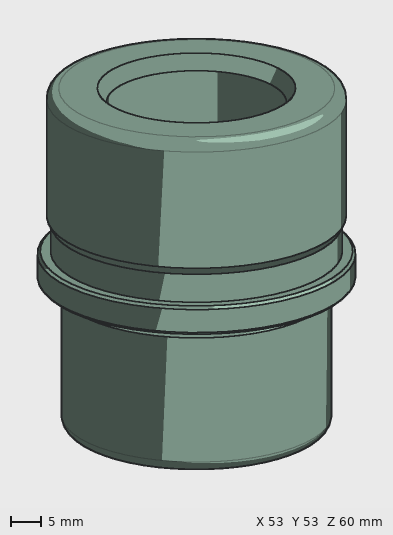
import cadquery as cq
import math

total_height = 60.0
flange_bottom = 26.0
flange_top = 31.0
neck_top = 36.0
neck_chamfer_top = 37.3

flange_diameter = 53.0
flange_radius = flange_diameter / 2
head_radius = 24.95
neck_radius = 24.3
shank_radius = 22.5
bore_radius = 15.0

end_fillet = 2.0
flange_chamfer = 0.5
bore_chamfer_width = 1.5
bore_chamfer_depth = 2.6
relief_arc_radius = 3.0
relief_height = 2.0
relief_depth = relief_arc_radius - math.sqrt(relief_arc_radius**2 - relief_height**2)


def outer_body():
    """Revolve the stepped outer profile: shank, flange, neck and head."""
    profile = (
        cq.Workplane("XZ")
        .lineTo(shank_radius - end_fillet, 0)
        .radiusArc((shank_radius, end_fillet), -end_fillet)
        .lineTo(shank_radius, flange_bottom - relief_height)
        .radiusArc((shank_radius - relief_depth, flange_bottom), relief_arc_radius)
        .lineTo(flange_radius - flange_chamfer, flange_bottom)
        .lineTo(flange_radius, flange_bottom + flange_chamfer)
        .lineTo(flange_radius, flange_top - flange_chamfer)
        .lineTo(flange_radius - flange_chamfer, flange_top)
        .lineTo(neck_radius, flange_top)
        .lineTo(neck_radius, neck_top)
        .lineTo(head_radius, neck_chamfer_top)
        .lineTo(head_radius, total_height - end_fillet)
        .radiusArc((head_radius - end_fillet, total_height), -end_fillet)
        .lineTo(0, total_height)
        .close()
    )
    return profile.revolve(360, (0, 0, 0), (0, 1, 0))


def bore_cutter():
    """Through bore with a lead-in chamfer at the top."""
    profile = (
        cq.Workplane("XZ")
        .lineTo(bore_radius, 0)
        .lineTo(bore_radius, total_height - bore_chamfer_depth)
        .lineTo(bore_radius + bore_chamfer_width, total_height)
        .lineTo(0, total_height)
        .close()
    )
    return profile.revolve(360, (0, 0, 0), (0, 1, 0))


result = outer_body().cut(bore_cutter())